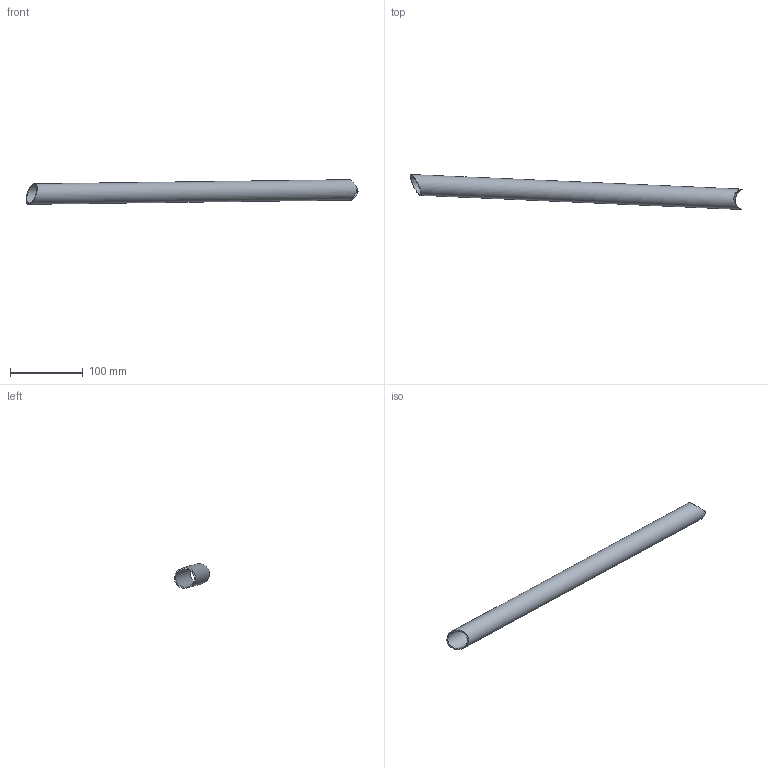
import cadquery as cq

outer_diameter = 28.0
wall = 1.5
length = 438.8
swing = 2.525
rise = 0.755

slant_y = -0.511
slant_z = 0.306

notch_diameter = 30.0
notch_lean_back = 3.5
notch_roll = 6.5

stock_overrun = 2 * outer_diameter
tool_size = 4 * outer_diameter

ORIGIN = (0, 0, 0)
X_AXIS = (1, 0, 0)
Y_AXIS = (0, 1, 0)
Z_AXIS = (0, 0, 1)


def tube_stock():
    """Straight tube along X, overlong at both ends."""
    outer_radius = outer_diameter / 2
    return (
        cq.Workplane("YZ", origin=(-stock_overrun, 0, 0))
        .circle(outer_radius)
        .circle(outer_radius - wall)
        .extrude(length + 2 * stock_overrun)
    )


def slanted_end_waste():
    """Block beyond the slanted plane x = slant_y * y + slant_z * z."""
    plane = cq.Plane(origin=ORIGIN, xDir=(slant_y, 1, 0), normal=(-1, slant_y, slant_z))
    return cq.Workplane(plane).rect(tool_size, tool_size).extrude(tool_size)


def notch_waste():
    """Round bar across the +X end, widened into a slot that runs out past the end."""
    radius = notch_diameter / 2
    bar = cq.Workplane("XY").circle(radius).extrude(tool_size / 2, both=True)
    beyond_bar = cq.Workplane("XY").box(
        tool_size, notch_diameter, tool_size, centered=(False, True, True)
    )
    return (
        bar.union(beyond_bar)
        .rotate(ORIGIN, Y_AXIS, -notch_lean_back)
        .rotate(ORIGIN, X_AXIS, -notch_roll)
        .translate((length + radius, 0, 0))
    )


tube = tube_stock().cut(slanted_end_waste()).cut(notch_waste())
result = tube.rotate(ORIGIN, Y_AXIS, -rise).rotate(ORIGIN, Z_AXIS, -swing)